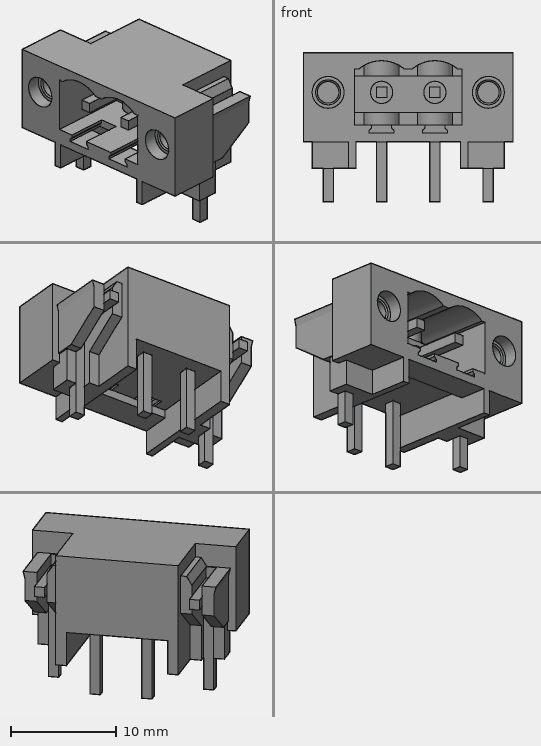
import cadquery as cq


FLANGE_WIDTH = 19.96
FLANGE_DEPTH = 5.3
FLANGE_BOTTOM = 2.51
BODY_HALF_WIDTH = 6.0
BODY_DEPTH = 12.0
BODY_HEIGHT = 11.0
TOTAL_HEIGHT = 14.2

LEG_INNER_X = 4.97
LEG_OUTER_X = 5.69
TUNNEL_STEP_Y = 3.03
TUNNEL_ROOF = 3.35

PITCH = 5.07
CONTACT_XS = (-PITCH / 2, PITCH / 2)
PIN_SIZE = 1.0
PIN_BOTTOM = BODY_HEIGHT - TOTAL_HEIGHT
AXIS_Z = 7.23
CONTACT_TIP_Y = 0.92
CONTACT_LEG_Y = 9.46
COLLAR_DIAMETER = 2.12

CAVITY_HALF_WIDTH = 5.1
CAVITY_FLOOR = 4.13
CAVITY_SHOULDER = 9.46
ARCH_PEAK = 10.24
ARCH_HALF_WIDTH = 2.14

WALL_BOTTOM = 5.33
WALL_TOP = 8.76
WALL_FRONT_Y = 6.59
COLUMN_FRONT_Y = 6.79
COLUMN_HALF_WIDTH = 1.68
COLUMN_ROUND_HALF_WIDTH = 1.28
COLUMN_ROUND_DEPTH = 0.58
COLUMN_FLANK_DEPTH = 0.54
CAVITY_DEPTH = COLUMN_FRONT_Y + COLUMN_ROUND_DEPTH + COLUMN_FLANK_DEPTH

GROOVE_NECK_HALF_WIDTH = 0.94
GROOVE_BASE_HALF_WIDTH = 1.18
GROOVE_NECK_BOTTOM = 3.85
GROOVE_FLARE_BOTTOM = 3.6
GROOVE_BOTTOM = 3.35
GROOVE_LENGTH = 4.13

INSERT_X = 7.62
INSERT_DIAMETER = 3.03
INSERT_MOUTH_DIAMETER = 2.38
INSERT_HOLE_DIAMETER = 2.05
INSERT_CHAMFER_DEPTH = 0.12
INSERT_FRONT_Y = 1.35
INSERT_BACK_Y = 4.8

MOUNT_PIN_X = 7.6
MOUNT_LEG_Y = 5.49
MOUNT_ARM_TOP = 7.7
BRACKET_LIP_X = 9.46
BRACKET_PLATE_X = 9.28
BRACKET_LIP_TOP = 8.8
BRACKET_LIP_BOTTOM = 8.08
BRACKET_INNER_X = 6.59
BRACKET_INNER_TOP = 9.65
BRACKET_BACK_Y = 11.02
BRACKET_BACK_BOTTOM = 5.89
BRACKET_BOTTOM = 3.5
BRACKET_FOOT_BACK_Y = 7.33
FOOT_OUTER_X = 9.15
FOOT_FRONT_Y = 4.27

SLOT_OUTER_X = MOUNT_PIN_X + PIN_SIZE / 2
SLOT_INNER_X = MOUNT_PIN_X - PIN_SIZE / 2


def block(x_span, y_span, z_span):
    """Box given by its two limits along each axis."""
    spans = (x_span, y_span, z_span)
    sizes = [high - low for low, high in spans]
    lows = tuple(low for low, high in spans)
    return cq.Workplane("XY").box(*sizes, centered=False).translate(lows)


def extrude_back(outline, y_front, y_back):
    """Extrude an outline sketched on the XZ plane from one Y to another."""
    return outline.extrude(-(y_back - y_front)).translate((0, y_front, 0))


def mirrored(shape):
    return shape.mirror("YZ")



def make_envelope():
    flange = block((-FLANGE_WIDTH / 2, FLANGE_WIDTH / 2), (0, FLANGE_DEPTH), (FLANGE_BOTTOM, BODY_HEIGHT))
    body = block((-BODY_HALF_WIDTH, BODY_HALF_WIDTH), (FOOT_FRONT_Y, BODY_DEPTH), (0, BODY_HEIGHT))
    legs = block((-LEG_OUTER_X, LEG_OUTER_X), (0, BODY_DEPTH), (0, FLANGE_BOTTOM))
    return flange.union(body).union(legs)


def make_tunnel():
    low_part = block((-LEG_INNER_X, LEG_INNER_X), (0, BODY_DEPTH), (0, FLANGE_BOTTOM))
    high_part = block((-LEG_INNER_X, LEG_INNER_X), (TUNNEL_STEP_Y, BODY_DEPTH), (0, TUNNEL_ROOF))
    return low_part.union(high_part)


def make_column(x):
    """Upright column with a rounded front and two straight slanting flanks."""
    flank_y = COLUMN_FRONT_Y + COLUMN_ROUND_DEPTH
    return (
        cq.Workplane("XY", origin=(x, 0, CAVITY_FLOOR))
        .moveTo(-COLUMN_HALF_WIDTH, CAVITY_DEPTH)
        .lineTo(-COLUMN_ROUND_HALF_WIDTH, flank_y)
        .threePointArc((0, COLUMN_FRONT_Y), (COLUMN_ROUND_HALF_WIDTH, flank_y))
        .lineTo(COLUMN_HALF_WIDTH, CAVITY_DEPTH)
        .close()
        .extrude(ARCH_PEAK - CAVITY_FLOOR)
    )


def make_cavity():
    """Plug opening with one arch above each contact, less the contact wall and the columns."""
    outline = (
        cq.Workplane("XZ")
        .moveTo(-CAVITY_HALF_WIDTH, CAVITY_FLOOR)
        .lineTo(-CAVITY_HALF_WIDTH, CAVITY_SHOULDER)
    )
    for x in CONTACT_XS:
        outline = outline.lineTo(x - ARCH_HALF_WIDTH, CAVITY_SHOULDER)
        outline = outline.threePointArc((x, ARCH_PEAK), (x + ARCH_HALF_WIDTH, CAVITY_SHOULDER))
    outline = (
        outline.lineTo(CAVITY_HALF_WIDTH, CAVITY_SHOULDER)
        .lineTo(CAVITY_HALF_WIDTH, CAVITY_FLOOR)
        .close()
    )
    cavity = extrude_back(outline, 0, CAVITY_DEPTH)
    wall = block(
        (-CAVITY_HALF_WIDTH, CAVITY_HALF_WIDTH), (WALL_FRONT_Y, CAVITY_DEPTH), (WALL_BOTTOM, WALL_TOP)
    )
    cavity = cavity.cut(wall)
    for x in CONTACT_XS:
        cavity = cavity.cut(make_column(x))
    return cavity


def make_groove(x):
    """Dovetail groove that breaks through the floor where the tunnel roof is high."""
    half_outline = [
        (GROOVE_NECK_HALF_WIDTH, CAVITY_FLOOR),
        (GROOVE_NECK_HALF_WIDTH, GROOVE_NECK_BOTTOM),
        (GROOVE_BASE_HALF_WIDTH, GROOVE_FLARE_BOTTOM),
        (GROOVE_BASE_HALF_WIDTH, GROOVE_BOTTOM),
    ]
    other_half = [(-u, z) for u, z in reversed(half_outline)]
    outline = cq.Workplane("XZ").polyline(half_outline + other_half).close()
    return extrude_back(outline, 0, GROOVE_LENGTH).translate((x, 0, 0))


def make_bracket():
    """Left bracket: a lipped outer plate and an inner rib with the mounting pin slot between them."""
    section = cq.Workplane("XZ").polyline([
        (-BODY_HALF_WIDTH, 0),
        (-FOOT_OUTER_X, 0),
        (-FOOT_OUTER_X, BRACKET_BOTTOM),
        (-BRACKET_PLATE_X, BRACKET_BOTTOM),
        (-BRACKET_PLATE_X, BRACKET_LIP_BOTTOM),
        (-BRACKET_LIP_X, BRACKET_LIP_TOP),
        (-SLOT_INNER_X, BRACKET_LIP_TOP),
        (-BRACKET_INNER_X, BRACKET_INNER_TOP),
        (-BODY_HALF_WIDTH, BRACKET_INNER_TOP),
    ]).close()
    bracket = extrude_back(section, FOOT_FRONT_Y, BRACKET_BACK_Y)
    profile = cq.Workplane("YZ").polyline([
        (FOOT_FRONT_Y, 0),
        (BRACKET_FOOT_BACK_Y, 0),
        (BRACKET_FOOT_BACK_Y, BRACKET_BOTTOM),
        (BRACKET_BACK_Y, BRACKET_BACK_BOTTOM),
        (BRACKET_BACK_Y, BRACKET_INNER_TOP),
        (FOOT_FRONT_Y, BRACKET_INNER_TOP),
    ]).close()
    bracket = bracket.intersect(profile.extrude(-FLANGE_WIDTH))

    slot = block((-SLOT_OUTER_X, -SLOT_INNER_X), (MOUNT_LEG_Y, BRACKET_BACK_Y), (0, BRACKET_INNER_TOP))
    plate_foot = block(
        (-FOOT_OUTER_X, -SLOT_INNER_X),
        (MOUNT_LEG_Y + PIN_SIZE, BRACKET_FOOT_BACK_Y),
        (0, BRACKET_BOTTOM),
    )
    return bracket.cut(slot).cut(plate_foot)


def make_insert_seat(x):
    outline = cq.Workplane("XZ").center(x, AXIS_Z).circle(INSERT_DIAMETER / 2)
    return extrude_back(outline, 0, INSERT_BACK_Y)


def make_housing(seated_pins):
    bracket = make_bracket()
    housing = make_envelope().union(bracket).union(mirrored(bracket))
    housing = housing.cut(make_tunnel()).cut(make_cavity())
    for x in CONTACT_XS:
        housing = housing.cut(make_groove(x))
    for x in (-INSERT_X, INSERT_X):
        housing = housing.cut(make_insert_seat(x))
    for pin in seated_pins:
        housing = housing.cut(pin)
    return housing



def make_contact(x):
    """Square pin bent down at the back, with a round collar flush with the contact wall."""
    x_span = (x - PIN_SIZE / 2, x + PIN_SIZE / 2)
    leg_back_y = CONTACT_LEG_Y + PIN_SIZE
    arm = block(x_span, (CONTACT_TIP_Y, leg_back_y), (AXIS_Z - PIN_SIZE / 2, AXIS_Z + PIN_SIZE / 2))
    leg = block(x_span, (CONTACT_LEG_Y, leg_back_y), (PIN_BOTTOM, AXIS_Z))
    collar_outline = cq.Workplane("XZ").center(x, AXIS_Z).circle(COLLAR_DIAMETER / 2)
    collar = extrude_back(collar_outline, WALL_FRONT_Y, CAVITY_DEPTH)
    return arm.union(leg).union(collar)


def make_mounting_pin(x):
    """Square pin with a vertical leg in the bracket foot and an arm reaching the back face."""
    x_span = (x - PIN_SIZE / 2, x + PIN_SIZE / 2)
    arm = block(x_span, (MOUNT_LEG_Y, BODY_DEPTH), (MOUNT_ARM_TOP - PIN_SIZE, MOUNT_ARM_TOP))
    leg = block(x_span, (MOUNT_LEG_Y, MOUNT_LEG_Y + PIN_SIZE), (PIN_BOTTOM, MOUNT_ARM_TOP))
    return arm.union(leg)


def make_insert(x):
    """Round insert with a through hole, chamfered at its front."""
    hole_radius = INSERT_HOLE_DIAMETER / 2
    half_section = cq.Workplane("XY").polyline([
        (INSERT_MOUTH_DIAMETER / 2, INSERT_FRONT_Y),
        (INSERT_DIAMETER / 2, INSERT_FRONT_Y),
        (INSERT_DIAMETER / 2, INSERT_BACK_Y),
        (hole_radius, INSERT_BACK_Y),
        (hole_radius, INSERT_FRONT_Y + INSERT_CHAMFER_DEPTH),
    ]).close()
    return half_section.revolve(360, (0, 0, 0), (0, 1, 0)).translate((x, 0, AXIS_Z))


contacts = [make_contact(x) for x in CONTACT_XS]
mounting_pins = [make_mounting_pin(x) for x in (-MOUNT_PIN_X, MOUNT_PIN_X)]
inserts = [make_insert(x) for x in (-INSERT_X, INSERT_X)]
housing = make_housing(contacts)

result = cq.Compound.makeCompound(
    [body.val() for body in [housing, *contacts, *mounting_pins, *inserts]]
)